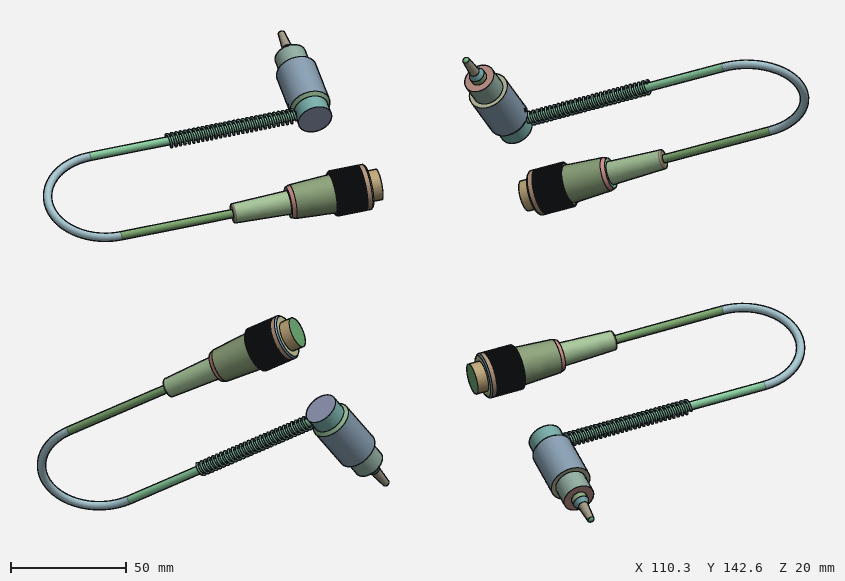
import cadquery as cq
import math


TIP_END_X = -50.4
TIP_DOME_HEIGHT = 0.9
TIP_DOME_X = TIP_END_X + TIP_DOME_HEIGHT
TIP_NARROW_DIAMETER = 3.0
TIP_CONE_X = -40.2
TIP_WIDE_DIAMETER = 4.4
COLLAR_X = -38.0
COLLAR_DIAMETER = 7.0
NOSE_X = -35.2
NOSE_DIAMETER = 13.8
BARREL_X = -25.5
BARREL_DIAMETER = 18.0
BARREL_CHAMFER_X = -3.7
CAP_X = -2.3
CAP_DIAMETER = 15.0
CAP_END_X = 4.5

SIDE_HOLE_X = -6.4
SIDE_HOLE_DIAMETER = 1.5
SIDE_HOLE_DEPTH = 1.4

CABLE_DIAMETER = 3.7
CABLE_SPACING = 49.9
BEND_Y = -99.8
BEND_RADIUS = CABLE_SPACING / 2

WIRE_DIAMETER = 1.0
SPRING_OUTER_DIAMETER = 6.5
SPRING_PITCH = 2 * WIRE_DIAMETER
SPRING_TURNS = 28.5
SPRING_START_Y = -(CAP_DIAMETER + WIRE_DIAMETER) / 2

PLUG_X = CABLE_SPACING
PLUG_TOP_Y = 16.0
PLUG_PIN_DIAMETER = 13.5

NUT_TOP_Y = 11.1
NUT_DIAMETER = 20.0
NUT_CHAMFER = 0.7
KNURL_TOP_Y = 8.3
NUT_BOTTOM_Y = -5.1
KNURL_TEETH = 120
KNURL_DEPTH = 0.4

SLEEVE_TOP_DIAMETER = 17.0
SLEEVE_TAPER_Y = -22.8
SLEEVE_TAPER_DIAMETER = 15.0
SLEEVE_END_DIAMETER = 13.5
SLEEVE_END_Y = -24.7

BOOT_TOP_DIAMETER = 10.4
BOOT_END_DIAMETER = 8.5
BOOT_END_Y = -49.8
BOOT_FILLET = 0.7


def turned_along_plug(stations):
    """Solid of revolution about the plug axis from (y, diameter) pairs."""
    profile = [(diameter / 2, y) for y, diameter in stations]
    outline = [(0, stations[0][0]), *profile, (0, stations[-1][0])]
    turned = cq.Workplane("XY").polyline(outline).close().revolve(360, (0, 0, 0), (0, 1, 0))
    return turned.translate((PLUG_X, 0, 0))


def rod_along_y(x, start_y, length, diameter):
    """Round rod that runs from start_y toward -Y."""
    return cq.Workplane("XZ", origin=(x, start_y, 0)).circle(diameter / 2).extrude(length)


def make_head():
    """Stepped probe head with a tapered, domed tip and a blind hole in its side."""
    sphere_radius = ((TIP_NARROW_DIAMETER / 2) ** 2 + TIP_DOME_HEIGHT**2) / (2 * TIP_DOME_HEIGHT)
    dome_half_angle = math.asin(TIP_NARROW_DIAMETER / 2 / sphere_radius) / 2
    dome_middle = (
        TIP_END_X + sphere_radius * (1 - math.cos(dome_half_angle)),
        sphere_radius * math.sin(dome_half_angle),
    )
    head = (
        cq.Workplane("XY")
        .moveTo(TIP_END_X, 0)
        .threePointArc(dome_middle, (TIP_DOME_X, TIP_NARROW_DIAMETER / 2))
        .lineTo(TIP_CONE_X, TIP_WIDE_DIAMETER / 2)
        .lineTo(COLLAR_X, COLLAR_DIAMETER / 2)
        .lineTo(NOSE_X, COLLAR_DIAMETER / 2)
        .lineTo(NOSE_X, NOSE_DIAMETER / 2)
        .lineTo(BARREL_X, NOSE_DIAMETER / 2)
        .lineTo(BARREL_X, BARREL_DIAMETER / 2)
        .lineTo(BARREL_CHAMFER_X, BARREL_DIAMETER / 2)
        .lineTo(CAP_X, CAP_DIAMETER / 2)
        .lineTo(CAP_END_X, CAP_DIAMETER / 2)
        .lineTo(CAP_END_X, 0)
        .close()
        .revolve(360, (0, 0, 0), (1, 0, 0))
    )
    hole_floor_y = SIDE_HOLE_DEPTH - BARREL_DIAMETER / 2
    hole_length = 2 * SIDE_HOLE_DEPTH
    return head.cut(rod_along_y(SIDE_HOLE_X, hole_floor_y, hole_length, SIDE_HOLE_DIAMETER))


def make_cable(head):
    """U-shaped cable from the curved side of the head cap to the end of the boot."""
    path = (
        cq.Workplane("XY")
        .moveTo(0, 0)
        .lineTo(0, BEND_Y)
        .threePointArc((BEND_RADIUS, BEND_Y - BEND_RADIUS), (CABLE_SPACING, BEND_Y))
        .lineTo(CABLE_SPACING, BOOT_END_Y)
    )
    return cq.Workplane("XZ").circle(CABLE_DIAMETER / 2).sweep(path).cut(head)


def make_spring():
    """Right-handed open coil around the cable, starting on its +X side."""
    coil_radius = (SPRING_OUTER_DIAMETER - WIRE_DIAMETER) / 2
    helix = cq.Wire.makeHelix(SPRING_PITCH, SPRING_TURNS * SPRING_PITCH, coil_radius)
    coil = cq.Workplane("XZ", origin=(coil_radius, 0, 0)).circle(WIRE_DIAMETER / 2).sweep(helix, isFrenet=True)
    return coil.rotate((0, 0, 0), (1, 0, 0), 90).translate((0, SPRING_START_Y, 0))


def make_plug_body():
    """Plug pin that runs through the nut into the tapered, shouldered sleeve."""
    return turned_along_plug([
        (PLUG_TOP_Y, PLUG_PIN_DIAMETER),
        (NUT_BOTTOM_Y, PLUG_PIN_DIAMETER),
        (NUT_BOTTOM_Y, SLEEVE_TOP_DIAMETER),
        (SLEEVE_TAPER_Y, SLEEVE_TAPER_DIAMETER),
        (SLEEVE_END_Y, SLEEVE_END_DIAMETER),
    ])


def knurl_points():
    """Crest and root points of the straight knurl, once round the nut."""
    points = []
    for step in range(2 * KNURL_TEETH):
        radius = NUT_DIAMETER / 2 - KNURL_DEPTH * (step % 2)
        angle = math.pi * step / KNURL_TEETH
        points.append((radius * math.cos(angle), radius * math.sin(angle)))
    return points


def make_nut():
    """Coupling nut: a plain chamfered rim above a straight knurl."""
    blank = turned_along_plug([
        (NUT_TOP_Y, NUT_DIAMETER - 2 * NUT_CHAMFER),
        (NUT_TOP_Y - NUT_CHAMFER, NUT_DIAMETER),
        (NUT_BOTTOM_Y + NUT_CHAMFER, NUT_DIAMETER),
        (NUT_BOTTOM_Y, NUT_DIAMETER - 2 * NUT_CHAMFER),
    ])
    knurl_length = KNURL_TOP_Y - NUT_BOTTOM_Y
    knurl_plane = cq.Workplane("XZ", origin=(PLUG_X, KNURL_TOP_Y, 0))
    gaps = knurl_plane.circle(NUT_DIAMETER).polyline(knurl_points()).close().extrude(knurl_length)
    bore = rod_along_y(PLUG_X, NUT_TOP_Y, NUT_TOP_Y - NUT_BOTTOM_Y, PLUG_PIN_DIAMETER)
    return blank.cut(gaps).cut(bore)


def make_boot():
    """Tapered cable boot with a rounded end."""
    boot = turned_along_plug([
        (SLEEVE_END_Y, BOOT_TOP_DIAMETER),
        (BOOT_END_Y, BOOT_END_DIAMETER),
    ])
    return boot.faces("<Y").edges().fillet(BOOT_FILLET)


head = make_head()
cable = make_cable(head)
spring = make_spring()
plug_body = make_plug_body()
nut = make_nut()
boot = make_boot()

result = cq.Compound.makeCompound([
    head.val(),
    cable.val(),
    spring.val(),
    plug_body.val(),
    nut.val(),
    boot.val(),
])